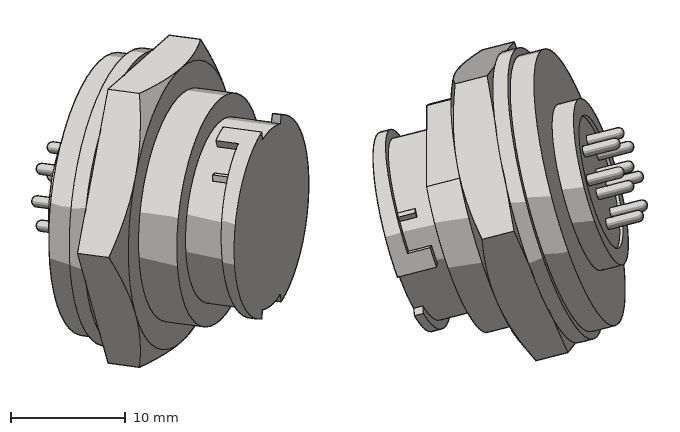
import cadquery as cq
import math

pin_length = 3.0
boss_length = 1.97
flange_length = 2.18
rim_length = 1.38
nut_length = 4.0
barrel_length = 3.6
nose_length = 4.85

flange_start = boss_length
rim_start = flange_start + flange_length
nut_start = rim_start + rim_length
barrel_start = nut_start + nut_length
nose_start = barrel_start + barrel_length
front_face = nose_start + nose_length

boss_radius = 7.5
flange_radius = 12.48
rim_diameter = 26.3
rim_radius = rim_diameter / 2
barrel_radius = 10.3
nose_radius = 8.2

barrel_flat_distance = 8.75

nut_corner_radius = 14.72
nut_flat_radius = nut_corner_radius * math.cos(math.radians(30))
nut_chamfer_length = 1.05

recess_radius = 6.0
recess_depth = 0.3

pin_radius = 0.5
pin_circle_radius = 3.75
pin_circle_angles = [-45, 0, 45, 90, 135, 180, 225]
inner_pin_heights = [1.1, -1.55]

ramp_radius = 9.0
ramp_start_angle = 15
ramp_end_angle = 165
tab_end_angle = 27
tab_length = 3.62
ramp_start_length = 1.53
ramp_end_length = 0.82

key_length = 3.03
key_top = 5.7
key_side = 6.42
key_size = 1.47


def disc(start, length, radius):
    return cq.Workplane("YZ", origin=(start, 0, 0)).circle(radius).extrude(length)


def make_barrel():
    barrel = disc(barrel_start, barrel_length, barrel_radius)
    side = 2 * barrel_radius
    beyond_flat = cq.Workplane("XY").box(barrel_length, side, side, centered=(False, False, True))
    return barrel.cut(beyond_flat.translate((barrel_start, barrel_flat_distance, 0)))


def make_nut():
    hexagon = (
        cq.Workplane("YZ", origin=(nut_start, 0, 0))
        .polygon(6, 2 * nut_corner_radius)
        .extrude(nut_length)
    )
    envelope = (
        cq.Workplane("XY")
        .moveTo(nut_start, 0)
        .lineTo(nut_start, nut_corner_radius)
        .lineTo(barrel_start - nut_chamfer_length, nut_corner_radius)
        .lineTo(barrel_start, nut_flat_radius)
        .lineTo(barrel_start, 0)
        .close()
        .revolve(360, (0, 0, 0), (1, 0, 0))
    )
    return hexagon.intersect(envelope)


def make_pin(y, z):
    pin = disc(-pin_length + pin_radius, pin_length - pin_radius + recess_depth, pin_radius)
    tip = cq.Workplane("XY").sphere(pin_radius).translate((-pin_length + pin_radius, 0, 0))
    return pin.union(tip).translate((0, y, z))


def sector(length, start_angle, end_angle):
    """Wedge from the axis out to the ramp radius, reaching back from the front face."""

    def point(radius, angle):
        turn = math.radians(angle)
        return (-radius * math.sin(turn), radius * math.cos(turn))

    middle_angle = (start_angle + end_angle) / 2
    return (
        cq.Workplane("YZ", origin=(front_face - length, 0, 0))
        .moveTo(0, 0)
        .lineTo(*point(ramp_radius, start_angle))
        .threePointArc(point(ramp_radius, middle_angle), point(ramp_radius, end_angle))
        .close()
        .extrude(length)
    )


def make_ramp():
    tab = sector(tab_length, ramp_start_angle, tab_end_angle)
    top = ramp_radius * math.cos(math.radians(tab_end_angle))
    bottom = ramp_radius * math.cos(math.radians(ramp_end_angle))
    slanted_slab = (
        cq.Workplane("XZ")
        .moveTo(front_face, top)
        .lineTo(front_face - ramp_start_length, top)
        .lineTo(front_face - ramp_end_length, bottom)
        .lineTo(front_face, bottom)
        .close()
        .extrude(ramp_radius)
    )
    ramp = sector(tab_length, tab_end_angle, ramp_end_angle).intersect(slanted_slab)
    key = (
        cq.Workplane("XY")
        .box(key_length, key_size, key_size, centered=False)
        .translate((front_face - key_length, -key_side, key_top - key_size))
    )
    return tab.union(ramp).union(key)


body = disc(0, boss_length, boss_radius)
body = body.union(disc(flange_start, flange_length, flange_radius))
body = body.union(disc(rim_start, rim_length, rim_radius))
body = body.union(make_nut())
body = body.union(make_barrel())
body = body.union(disc(nose_start, nose_length, nose_radius))
body = body.cut(disc(0, recess_depth, recess_radius))

ramp = make_ramp()
for turn in (0, 180):
    body = body.union(ramp.rotate((0, 0, 0), (1, 0, 0), turn))

for angle in pin_circle_angles:
    pin_turn = math.radians(angle)
    body = body.union(
        make_pin(pin_circle_radius * math.cos(pin_turn), pin_circle_radius * math.sin(pin_turn))
    )
for height in inner_pin_heights:
    body = body.union(make_pin(0, height))

result = body